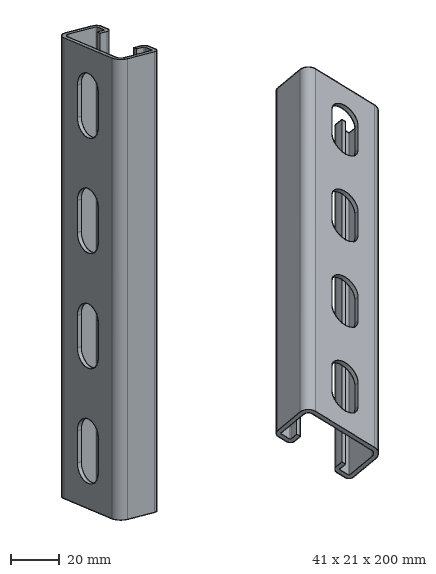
import cadquery as cq

length = 200.0
width = 41.0
depth = 21.0
wall = 2.0
opening = 22.5
lip_depth = 6.0
web_bend_radius = 4.5
flange_bend_radius = 2.5

slot_width = 14.0
slot_length = 28.0
slot_pitch = 50.0
slot_count = 4


def upright_block(size_x, y_min, y_max, web_radius, flange_radius):
    """Full-length block with its -Y and +Y upright edges rounded separately."""
    block = (
        cq.Workplane("XY")
        .box(size_x, y_max - y_min, length, centered=(True, False, True))
        .translate((0, y_min, 0))
    )
    block = block.edges("|Z and <Y").fillet(web_radius)
    return block.edges("|Z and >Y").fillet(flange_radius)


def channel_tube():
    """Closed tube with bends of constant wall thickness."""
    outer = upright_block(width, 0, depth, web_bend_radius, flange_bend_radius)
    inner = upright_block(
        width - 2 * wall,
        wall,
        depth - wall,
        web_bend_radius - wall,
        flange_bend_radius - wall,
    )
    return outer.cut(inner)


def open_side():
    """Clearance that removes the tube wall between the two lips."""
    gap = cq.Workplane("XY").box(opening, 2 * wall, length)
    return gap.translate((0, depth, 0))


def lip(side):
    """Lip bent back into the channel; side is -1 or +1 along X."""
    inner_x = side * opening / 2
    return (
        cq.Workplane("XY")
        .box(wall, lip_depth, length)
        .translate((inner_x + side * wall / 2, depth - lip_depth / 2, 0))
    )


def round_lip_bends(body):
    """Round the lip bends on their outer and inner sides."""
    lip_x = opening / 2
    inner_radius = flange_bend_radius - wall
    for side in (-1, 1):
        outer_corner = (side * lip_x, depth, 0)
        body = body.edges(cq.selectors.NearestToPointSelector(outer_corner)).fillet(flange_bend_radius)
        inner_corner = (side * (lip_x + wall), depth - wall, 0)
        body = body.edges(cq.selectors.NearestToPointSelector(inner_corner)).fillet(inner_radius)
    return body


def web_slots():
    """Evenly spaced upright slots, cutting the web only."""
    return (
        cq.Workplane("XZ")
        .rarray(2, slot_pitch, 1, slot_count)
        .slot2D(slot_length, slot_width, 90)
        .extrude(2 * wall, both=True)
    )


body = channel_tube().cut(open_side())
for side in (-1, 1):
    body = body.union(lip(side))
body = round_lip_bends(body)
result = body.cut(web_slots())